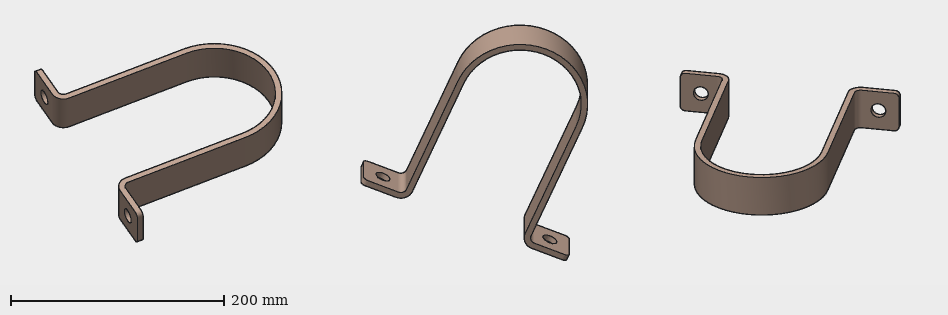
import cadquery as cq

width = 210.0
depth = 199.0
height = 40.0
thickness = 6.0

arch_outer_radius = 63.5
bend_inner_radius = 5.9
hole_diameter = 14.0
hole_edge_distance = 20.0
corner_radius = 5.0

arch_inner_radius = arch_outer_radius - thickness
bend_outer_radius = bend_inner_radius + thickness
arch_center_y = depth - arch_outer_radius
bend_center_x = arch_outer_radius + bend_inner_radius
foot_length = width / 2 - bend_center_x


def half_ring(outer_radius, inner_radius):
    """Upper half of a flat ring, extruded to the strap height."""
    ring = cq.Workplane("XY").circle(outer_radius).circle(inner_radius).extrude(height)
    upper_half = cq.Workplane("XY").rect(2 * outer_radius, outer_radius).extrude(height)
    return ring.intersect(upper_half.translate((0, outer_radius / 2, 0)))


def bend():
    """Quarter-round bend joining the right leg to its foot."""
    ring = cq.Workplane("XY").circle(bend_outer_radius).circle(bend_inner_radius).extrude(height)
    quadrant = cq.Workplane("XY").box(
        bend_outer_radius, bend_outer_radius, height, centered=False
    )
    quarter = ring.intersect(quadrant.translate((-bend_outer_radius, -bend_outer_radius, 0)))
    return quarter.translate((bend_center_x, bend_outer_radius, 0))


def leg():
    """Straight right leg between the bend and the arch."""
    length = arch_center_y - bend_outer_radius
    plate = cq.Workplane("XY").box(thickness, length, height, centered=False)
    return plate.translate((arch_inner_radius, bend_outer_radius, 0))


def foot():
    """Right mounting foot with rounded outer corners and a bolt hole."""
    plate = cq.Workplane("XY").box(foot_length, thickness, height, centered=False)
    plate = plate.edges("|Y and >X").fillet(corner_radius)
    hole = (
        cq.Workplane("XZ")
        .center(foot_length - hole_edge_distance, height / 2)
        .circle(hole_diameter / 2)
        .extrude(-thickness)
    )
    return plate.cut(hole).translate((bend_center_x, 0, 0))


arch = half_ring(arch_outer_radius, arch_inner_radius).translate((0, arch_center_y, 0))
right_side = leg().union(bend()).union(foot())
result = arch.union(right_side).union(right_side.mirror("YZ"))